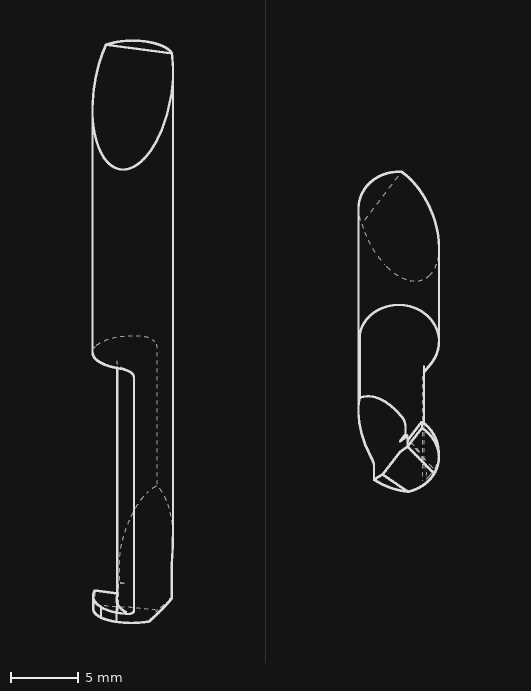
import cadquery as cq
import math

length = 45.0
diameter = 6.0
radius = diameter / 2
clear = 9.0

top_flat_y = 1.55
slant = math.radians(30)

shank_z = 20.92
neck_left_x = -1.1
neck_radius = 2.95
neck_axis_x = neck_left_x + neck_radius
neck_top_fillet = 0.65
neck_bottom_fillet = 0.25

flat_y = 0.158
flat_top_z = 4.35
flat_blend = 2.25

rake_y = -0.05
tip_x = -2.92
land_y = -0.338
hook_top_z = 1.15
hook_top_slope = 0.06
bottom_slope_x = 0.03
bottom_slope_y = 0.05
corner_chamfer = 1.25
seam_front_x = -0.338
relief_mid = (-2.5, -1.55)
relief_end = (-1.7, -2.45)

ramp_end_x = -0.4
ramp_top_z = 2.0


def top_cutter():
    """Wedge that slants the -Y side of the top end."""
    drop = clear / math.tan(slant)
    return (
        cq.Workplane("YZ")
        .moveTo(top_flat_y, length)
        .lineTo(top_flat_y - clear, length - drop)
        .lineTo(top_flat_y - clear, length)
        .close()
        .extrude(clear, both=True)
    )


def back_cutter():
    """Back flat of the tip and its slanted, blended run-out."""
    rise = clear / math.tan(slant)
    return (
        cq.Workplane("YZ")
        .moveTo(flat_y, -clear)
        .lineTo(flat_y, flat_top_z)
        .lineTo(flat_y + clear, flat_top_z + rise)
        .lineTo(flat_y + clear, -clear)
        .close()
        .extrude(clear, both=True)
        .edges(cq.selectors.NearestToPointSelector((0, flat_y, flat_top_z)))
        .fillet(flat_blend)
    )


def neck_spool():
    """Round neck that flares with a fillet at both ends."""
    low_z = hook_top_z - hook_top_slope * radius
    bend = 1 - math.sqrt(0.5)
    top = neck_top_fillet
    low = neck_bottom_fillet
    return (
        cq.Workplane("XZ")
        .moveTo(0, 0)
        .lineTo(0, shank_z)
        .lineTo(neck_radius + top, shank_z)
        .threePointArc((neck_radius + top * bend, shank_z - top * bend), (neck_radius, shank_z - top))
        .lineTo(neck_radius, low_z + low)
        .threePointArc((neck_radius + low * bend, low_z + low * bend), (neck_radius + low, low_z))
        .lineTo(neck_radius + low, 0)
        .close()
        .revolve(360, (0, 0, 0), (0, 1, 0))
        .translate((neck_axis_x, 0, 0))
    )


def neck_cutter():
    """Space beside the neck, from the sloping hook top up to the shank."""
    fall = hook_top_slope * clear
    space = (
        cq.Workplane("YZ")
        .moveTo(-clear, hook_top_z - fall)
        .lineTo(clear, hook_top_z + fall)
        .lineTo(clear, shank_z)
        .lineTo(-clear, shank_z)
        .close()
        .extrude(clear, both=True)
    )
    return space.cut(neck_spool())


def bottom_cutter():
    """Block under the tilted end face, which is lowest at the hook tip."""
    plane = cq.Plane(
        origin=(tip_x, 0, 0),
        xDir=(1, 0, bottom_slope_x),
        normal=(-bottom_slope_x, bottom_slope_y, 1),
    )
    return cq.Workplane(plane).rect(2 * clear, 2 * clear).extrude(-clear)


def corner_cutter():
    """45 degree chamfer at the lower +X corner."""
    return (
        cq.Workplane("XZ")
        .moveTo(radius - corner_chamfer, 0)
        .lineTo(radius, corner_chamfer)
        .lineTo(radius + clear, corner_chamfer)
        .lineTo(radius + clear, 0)
        .close()
        .extrude(clear, both=True)
    )


def ramp_cutter():
    """Ground ramp ending in the rake face of the hook."""
    return (
        cq.Workplane("XY")
        .moveTo(ramp_end_x, flat_y)
        .lineTo(neck_left_x, rake_y)
        .lineTo(-clear, rake_y)
        .lineTo(-clear, flat_y)
        .close()
        .extrude(ramp_top_z)
    )


def insert_region():
    """Everything on the hook side of the seam with the holder."""
    return (
        cq.Workplane("XY")
        .moveTo(neck_left_x, rake_y)
        .lineTo(seam_front_x, -radius)
        .lineTo(-clear, -radius)
        .lineTo(-clear, rake_y)
        .close()
        .extrude(hook_top_z)
    )


def hook_outline():
    """Hook plan: a short land, a curved relief, then out to the bar surface."""
    return (
        cq.Workplane("XY")
        .moveTo(0, rake_y)
        .lineTo(tip_x, rake_y)
        .lineTo(tip_x, land_y)
        .threePointArc(relief_mid, relief_end)
        .lineTo(relief_end[0], -radius)
        .lineTo(0, -radius)
        .close()
        .extrude(hook_top_z)
    )


def make_bar():
    """Ground bar before it is split into holder and insert."""
    bar = cq.Workplane("XY").circle(radius).extrude(length)
    cutters = [top_cutter(), back_cutter(), neck_cutter(), bottom_cutter(), corner_cutter(), ramp_cutter()]
    for cutter in cutters:
        bar = bar.cut(cutter)
    return bar


def make_insert(bar):
    """Hooked cutting tip."""
    return bar.intersect(insert_region()).intersect(hook_outline())


def make_holder(bar):
    """Shank and neck that carry the tip."""
    return bar.cut(insert_region())


bar = make_bar()
holder = make_holder(bar)
insert = make_insert(bar)

result = cq.Compound.makeCompound([holder.val(), insert.val()])